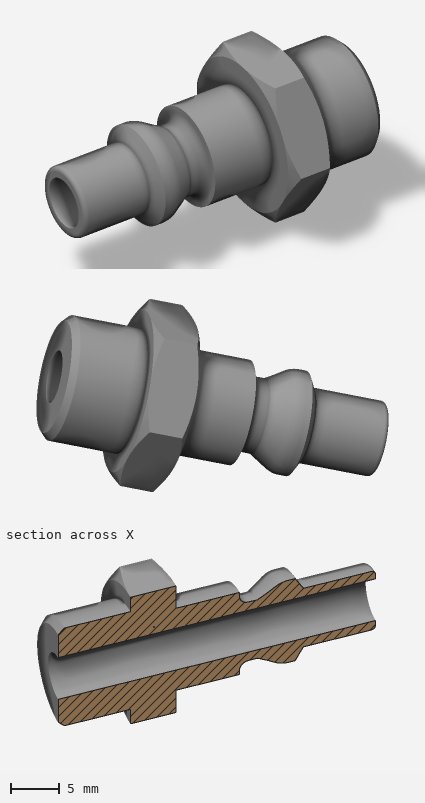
import cadquery as cq
import math

total_length = 35.0
collar_start = 7.95
collar_rim_start = 8.85
collar_rim_end = 9.65
collar_cone_start = 10.92
shank_start = 14.98
hex_start = 21.98
hex_end = 27.02

bore_radius = 2.75
tip_radius = 3.95
shank_radius = 5.53
collar_radius = shank_radius
thread_radius = 6.58
hex_across_flats = 17.0

tip_round = 0.5
neck_fillet = 0.98
thread_chamfer = 0.7
hex_chamfer_angle = math.radians(30)

shoulder_angle = math.radians(30.6)
shoulder_radius = (collar_cone_start - collar_rim_end) / math.sin(shoulder_angle)
cone_large_radius = collar_radius - shoulder_radius * (1 - math.cos(shoulder_angle))
neck_start = collar_cone_start + (cone_large_radius - tip_radius) / math.tan(shoulder_angle)


def turned_body():
    """Plug tip, locking collar, neck, shank and threaded end revolved about Y."""
    arc_mid = (
        collar_radius - shoulder_radius * (1 - math.cos(shoulder_angle / 2)),
        collar_rim_end + shoulder_radius * math.sin(shoulder_angle / 2),
    )
    diagonal = math.sqrt(0.5)
    tip_mid = (
        tip_radius - tip_round * (1 - diagonal),
        tip_round * (1 - diagonal),
    )
    fillet_mid = (
        tip_radius + neck_fillet * (1 - diagonal),
        shank_start - neck_fillet * (1 - diagonal),
    )
    profile = (
        cq.Workplane("XY")
        .moveTo(0, 0)
        .lineTo(tip_radius - tip_round, 0)
        .threePointArc(tip_mid, (tip_radius, tip_round))
        .lineTo(tip_radius, collar_start)
        .lineTo(collar_radius, collar_rim_start)
        .lineTo(collar_radius, collar_rim_end)
        .threePointArc(arc_mid, (cone_large_radius, collar_cone_start))
        .lineTo(tip_radius, neck_start)
        .lineTo(tip_radius, shank_start - neck_fillet)
        .threePointArc(fillet_mid, (tip_radius + neck_fillet, shank_start))
        .lineTo(shank_radius, shank_start)
        .lineTo(shank_radius, hex_end)
        .lineTo(thread_radius, hex_end)
        .lineTo(thread_radius, total_length - thread_chamfer)
        .lineTo(thread_radius - thread_chamfer, total_length)
        .lineTo(0, total_length)
        .close()
    )
    return profile.revolve(360, (0, 0, 0), (0, 1, 0))


def hex_collar():
    """Wrench hexagon with corners on X, both ends turned to a chamfer."""
    flat_radius = hex_across_flats / 2
    corner_radius = flat_radius / math.cos(math.pi / 6)
    hexagon = (
        cq.Workplane("XZ", origin=(0, hex_start, 0))
        .polygon(6, 2 * corner_radius)
        .extrude(hex_start - hex_end)
    )
    chamfer_depth = (corner_radius - flat_radius) * math.tan(hex_chamfer_angle)
    envelope = (
        cq.Workplane("XY")
        .moveTo(0, hex_start)
        .lineTo(flat_radius, hex_start)
        .lineTo(corner_radius, hex_start + chamfer_depth)
        .lineTo(corner_radius, hex_end - chamfer_depth)
        .lineTo(flat_radius, hex_end)
        .lineTo(0, hex_end)
        .close()
        .revolve(360, (0, 0, 0), (0, 1, 0))
    )
    return hexagon.intersect(envelope)


def through_bore():
    """Straight passage along the whole axis."""
    return cq.Workplane("XZ").circle(bore_radius).extrude(-total_length)


result = turned_body().union(hex_collar()).cut(through_bore())